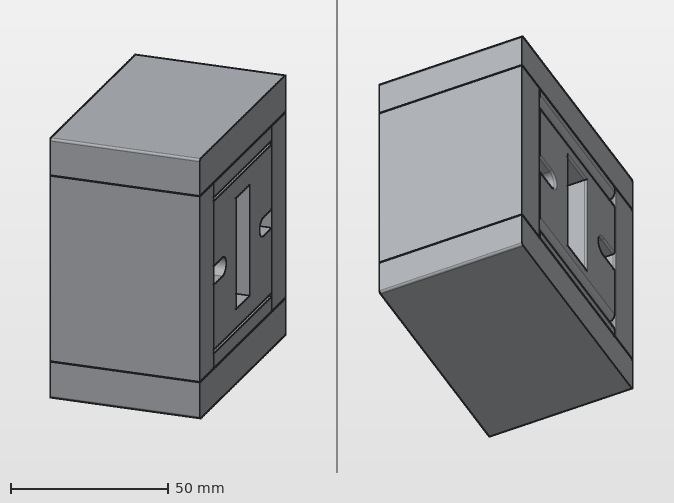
import cadquery as cq

depth = 50.85
width = 77.8
height = 88.9
front_x = -depth / 2

cap_height = 12.5
cap_fillet = 0.8
joint_gap = 0.3
middle_height = height - 2 * (cap_height + joint_gap)

opening_width = 52.3
post_width = (width - opening_width) / 2
post_fillet = 0.7

core_height = 50.85
core_fillet = 2.7
slit = 1.25
rail_height = middle_height / 2 - core_height / 2 - slit
rail_fillet = 2.5

rim_fillet = 0.7
window_width = 12.45
window_height = 38.0
notch_height = 6.4
notch_tip_y = 15.1


def block(size_y, size_z, center_y=0.0, center_z=0.0):
    """Full-depth block at the given Y and Z position."""
    return cq.Workplane("XY").box(depth, size_y, size_z).translate((0, center_y, center_z))


def make_cap(side):
    """Cap above (side = 1) or below (side = -1), with rounded outer long edges."""
    cap = block(width, cap_height, center_z=side * (height - cap_height) / 2)
    outer_face = ">Z" if side > 0 else "<Z"
    return cap.faces(outer_face).edges("|X").fillet(cap_fillet)


def make_post(side):
    """Side post at +Y (side = 1) or -Y (side = -1), with a rounded inner front edge."""
    post = block(post_width, middle_height, center_y=side * (width - post_width) / 2)
    inner_face = "<Y" if side > 0 else ">Y"
    return post.faces("<X").edges(inner_face).fillet(post_fillet)


def make_rail(side):
    """Rail next to a cap, with its front edge rounded towards the slit."""
    rail = block(opening_width, rail_height, center_z=side * (middle_height - rail_height) / 2)
    slit_face = "<Z" if side > 0 else ">Z"
    return rail.faces("<X").edges(slit_face).fillet(rail_fillet)


def window_cutter():
    """Rectangular window through the full depth."""
    return block(window_width, window_height)


def notch_cutter(side):
    """Full-depth slot centred on the side of the core, so that only its inner end cuts in."""
    slot_length = opening_width - 2 * notch_tip_y
    return (
        cq.Workplane("YZ", origin=(front_x, side * opening_width / 2, 0))
        .slot2D(slot_length, notch_height)
        .extrude(depth)
    )


def make_core():
    """Central block with a window and two side notches, all with rounded front rims."""
    core = block(opening_width, core_height)
    core = core.faces("<X").edges("|Y").fillet(core_fillet)
    core = core.cut(window_cutter())
    for side in (-1, 1):
        core = core.cut(notch_cutter(side))
    rim_zone = cq.selectors.BoxSelector(
        (front_x - rim_fillet, -opening_width / 2 + rim_fillet, -window_height / 2 - rim_fillet),
        (front_x + rim_fillet, opening_width / 2 - rim_fillet, window_height / 2 + rim_fillet),
    )
    return core.faces("<X").edges(rim_zone).fillet(rim_fillet)


bodies = [make_core().val()]
for side in (-1, 1):
    bodies.append(make_cap(side).val())
    bodies.append(make_post(side).val())
    bodies.append(make_rail(side).val())

result = cq.Compound.makeCompound(bodies)